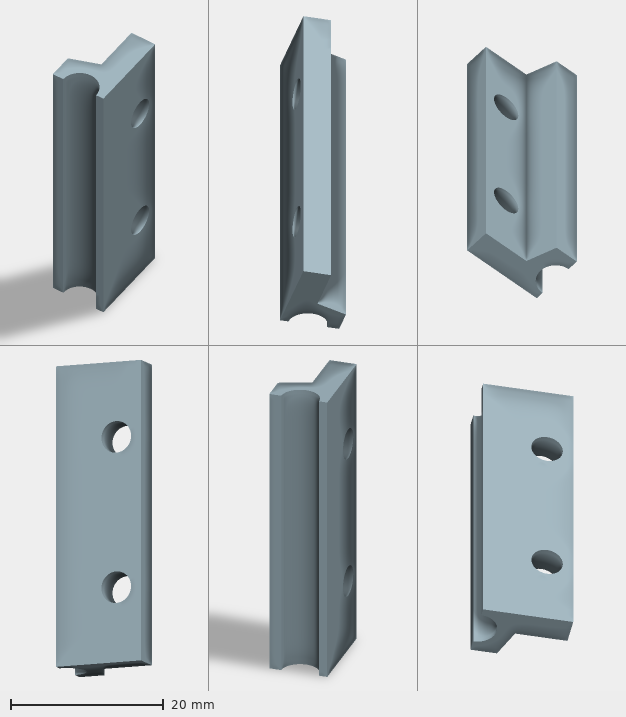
import cadquery as cq
import math

width = 8.0
depth = 12.05
length = 40.0

flange_thickness = 3.75
flange_height = 7.0

shoulder_angle = 20.0

groove_radius = 2.6

hole_diameter = 4.2
hole_spacing = 20.0

flange_face_x = width - flange_thickness
flange_root_y = depth - flange_height
shoulder_drop = flange_face_x * math.tan(math.radians(shoulder_angle))
outer_wall_y = flange_root_y - shoulder_drop
groove_x = flange_face_x
hole_y = depth - flange_height / 2


def profile_bar():
    """Constant cross-section with the groove, extruded along Z."""
    return (
        cq.Workplane("XY")
        .moveTo(0, 0)
        .lineTo(groove_x - groove_radius, 0)
        .threePointArc((groove_x, groove_radius), (groove_x + groove_radius, 0))
        .lineTo(width, 0)
        .lineTo(width, depth)
        .lineTo(flange_face_x, depth)
        .lineTo(flange_face_x, flange_root_y)
        .lineTo(0, outer_wall_y)
        .close()
        .extrude(length)
    )


def screw_holes():
    """Cylinders along X that cut the two holes, spaced evenly about mid-length."""
    first_hole_z = (length - hole_spacing) / 2
    return (
        cq.Workplane("YZ")
        .pushPoints([(hole_y, first_hole_z), (hole_y, first_hole_z + hole_spacing)])
        .circle(hole_diameter / 2)
        .extrude(width)
    )


result = profile_bar().cut(screw_holes())